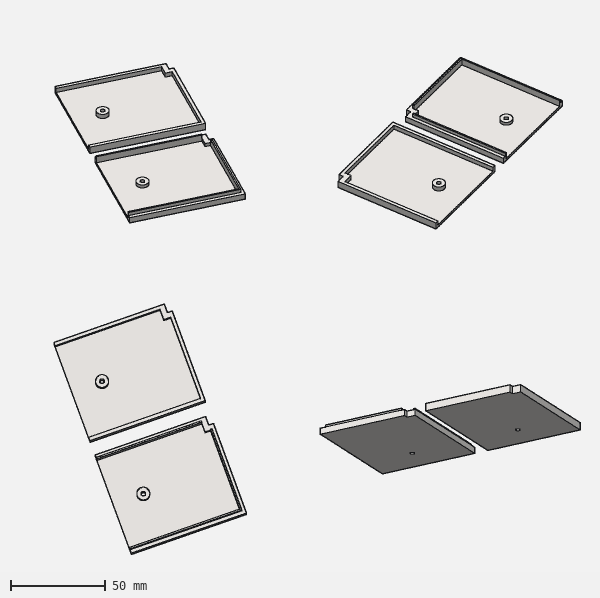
import cadquery as cq

overall_length = 122.0
half_width = 57.0
half_depth = 65.0
lip_half_x = overall_length - half_width

floor_thickness = 1.6
wall_thickness = 2.0
notch_width = 5.0
notch_depth = 2.7
corner_block_width = 7.9
corner_block_depth = 5.9

plain_half_height = 4.3
lip_half_height = 3.5
lip_top = 5.6
lip_thickness = 0.9

boss_diameter = 7.0
screw_hole_diameter = 2.5
boss_x = half_width / 2
boss_y = 17.0


def notched_plate(inset, corner_width, corner_depth, bottom, top):
    """Plate inset from the sides and back, with its back left corner cut away.

    The corner sizes are measured from the outer edges of the case half.
    """
    left = inset
    right = half_width - inset
    back = half_depth - inset
    step_x = corner_width
    step_y = half_depth - corner_depth
    outline = [
        (left, 0),
        (right, 0),
        (right, back),
        (step_x, back),
        (step_x, step_y),
        (left, step_y),
    ]
    return cq.Workplane("XY").workplane(offset=bottom).polyline(outline).close().extrude(top - bottom)


def cavity(inset, top):
    """Space above the floor, open at the front and stepped around the corner block."""
    return notched_plate(inset, corner_block_width, corner_block_depth, floor_thickness, top)


def add_screw_boss(shell, boss_top):
    """Add a boss from the floor up to boss_top and drill it right through."""
    boss = (
        cq.Workplane("XY", origin=(boss_x, boss_y, 0))
        .circle(boss_diameter / 2)
        .extrude(boss_top)
    )
    screw_hole = (
        cq.Workplane("XY", origin=(boss_x, boss_y, 0))
        .circle(screw_hole_diameter / 2)
        .extrude(boss_top)
    )
    return shell.union(boss).cut(screw_hole)


def make_plain_half():
    """Case half with a flat rim."""
    block = notched_plate(0, notch_width, notch_depth, 0, plain_half_height)
    shell = block.cut(cavity(wall_thickness, plain_half_height))
    return add_screw_boss(shell, plain_half_height)


def make_lip_half():
    """Case half with a thin lip that stands on the rim and fits inside the plain half."""
    block = notched_plate(0, notch_width, notch_depth, 0, lip_half_height)
    lip_block = cavity(wall_thickness, lip_top)
    shell = block.union(lip_block).cut(cavity(wall_thickness + lip_thickness, lip_top))
    return add_screw_boss(shell, lip_half_height)


plain_half = make_plain_half()
lip_half = make_lip_half().translate((lip_half_x, 0, 0))

result = cq.Compound.makeCompound([plain_half.val(), lip_half.val()])